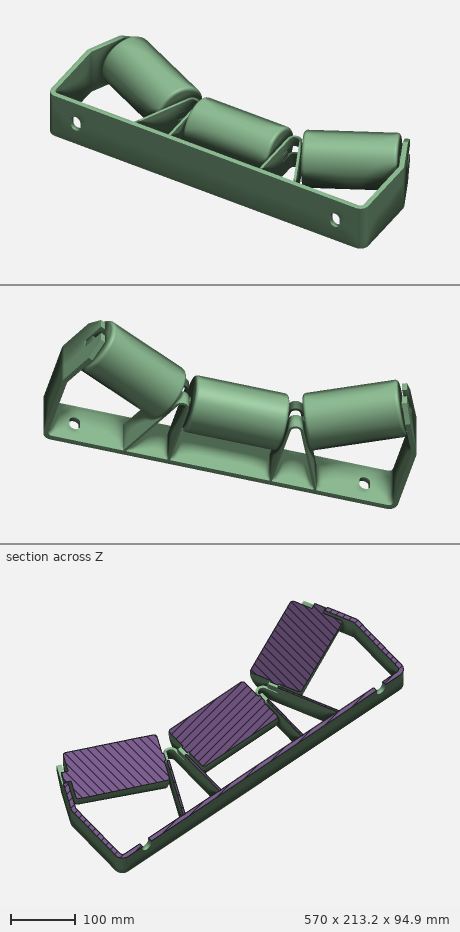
import cadquery as cq
import math

frame_length = 570.0
frame_height = 80.0
frame_thickness = 8.0
frame_bend_radius = 14.0
frame_side_end = 120.0
flange_angle = 25.0
flange_length = 89.0
flange_corner_run = 29.5
flange_corner_drop = 17.0
mounting_slot_width = 17.0
mounting_slot_height = 26.0
mounting_slot_offset = 233.0

roller_diameter = 90.0
roller_length = 150.0
roller_edge_radius = 5.0
shaft_diameter = 20.0
shaft_length = 167.5
side_shaft_shift = 1.5
shaft_flat_height = 13.0
shaft_round_length = 3.0

middle_roller_y = 101.0
middle_roller_z = -5.5
side_roller_tilt = 2.0
side_roller_z = -3.0
side_roller_gap = 4.5
flange_shaft_distance = 59.0

bracket_thickness = 4.0
bracket_bend_radius = 12.0
bracket_face_x = 80.0
bracket_fold_y = 116.0
bracket_top_z = 19.5

seat_width = 15.0
seat_clearance = 0.5

lean = math.radians(flange_angle)
cos_lean = math.cos(lean)
sin_lean = math.sin(lean)


def leaning_point(origin, outward, along):
    """Left-hand point at distances across and along the lean from an origin."""
    return (
        origin[0] - outward * cos_lean + along * sin_lean,
        origin[1] + outward * sin_lean + along * cos_lean,
    )


def arc_point(centre, radius, degrees):
    """Point on a circle in the XY plane."""
    angle = math.radians(degrees)
    return (centre[0] + radius * math.cos(angle), centre[1] + radius * math.sin(angle))


def leaning_plane(point, z):
    """Plane facing outward, with its local X running up the lean."""
    return cq.Plane(origin=(*point, z), xDir=(sin_lean, cos_lean, 0), normal=(-cos_lean, sin_lean, 0))


def shaft_seat(plane, open_length, depth):
    """Cutter for a slot with a round seat, open toward the plane's local +X."""
    radius = shaft_diameter / 2 + seat_clearance
    half_width = seat_width / 2
    arc_start = -math.sqrt(radius**2 - half_width**2)
    return (
        cq.Workplane(plane)
        .moveTo(open_length, half_width)
        .lineTo(arc_start, half_width)
        .threePointArc((-radius, 0), (arc_start, -half_width))
        .lineTo(open_length, -half_width)
        .close()
        .extrude(-depth)
    )


bend_x = -frame_length / 2 + frame_bend_radius
base_bend = (bend_x, frame_bend_radius)
flange_bend = (bend_x, frame_side_end)
flange_shaft = leaning_point(flange_bend, frame_bend_radius, flange_shaft_distance)
side_roller_inset = frame_thickness + side_roller_gap + roller_length / 2
side_roller_centre = leaning_point(flange_shaft, -side_roller_inset, 0)
fold_centre = (-bracket_face_x - bracket_bend_radius, bracket_fold_y)


def frame_half():
    """Left half of the frame strip, without openings."""
    outer = frame_bend_radius
    inner = outer - frame_thickness
    lean_direction = 180 - flange_angle
    lean_middle = 180 - flange_angle / 2
    return (
        cq.Workplane("XY", origin=(0, 0, -frame_height / 2))
        .moveTo(0, 0)
        .lineTo(bend_x, 0)
        .threePointArc(arc_point(base_bend, outer, 225), arc_point(base_bend, outer, 180))
        .lineTo(*arc_point(flange_bend, outer, 180))
        .threePointArc(arc_point(flange_bend, outer, lean_middle), arc_point(flange_bend, outer, lean_direction))
        .lineTo(*leaning_point(flange_bend, outer, flange_length))
        .lineTo(*leaning_point(flange_bend, inner, flange_length))
        .lineTo(*arc_point(flange_bend, inner, lean_direction))
        .threePointArc(arc_point(flange_bend, inner, lean_middle), arc_point(flange_bend, inner, 180))
        .lineTo(*arc_point(base_bend, inner, 180))
        .threePointArc(arc_point(base_bend, inner, 225), arc_point(base_bend, inner, 270))
        .lineTo(0, frame_thickness)
        .close()
        .extrude(frame_height)
    )


def flange_corner(side):
    """Cutter for one sloping corner of the flange tip; side is +1 or -1."""
    tip = leaning_plane(leaning_point(flange_bend, frame_bend_radius, flange_length), 0)
    edge = side * frame_height / 2
    return (
        cq.Workplane(tip)
        .polyline([(0, edge), (-flange_corner_run, edge), (0, edge - side * flange_corner_drop)])
        .close()
        .extrude(-frame_thickness)
    )


def mounting_slot():
    """Cutter for the upright oblong hole near the end of the base."""
    return (
        cq.Workplane("XZ")
        .center(-mounting_slot_offset, 0)
        .slot2D(mounting_slot_height, mounting_slot_width, 90)
        .extrude(-frame_thickness)
    )


def make_frame():
    half = frame_half()
    for side in (1, -1):
        half = half.cut(flange_corner(side))
    half = half.cut(shaft_seat(leaning_plane(flange_shaft, 0), flange_length, frame_thickness))
    half = half.cut(mounting_slot())
    return half.union(half.mirror("YZ"))


def make_bracket():
    """Left-hand bracket: upright inner leg, round fold and leaning outer leg."""
    outer = bracket_bend_radius
    inner = outer - bracket_thickness
    lean_direction = 180 - flange_angle
    fold_middle = lean_direction / 2

    def leg_foot(radius):
        drop = bracket_fold_y + radius * sin_lean - frame_thickness
        return leaning_point(fold_centre, radius, -drop / cos_lean)

    strip = (
        cq.Workplane("XY", origin=(0, 0, -frame_height / 2))
        .moveTo(fold_centre[0] + outer, frame_thickness)
        .lineTo(*arc_point(fold_centre, outer, 0))
        .threePointArc(arc_point(fold_centre, outer, fold_middle), arc_point(fold_centre, outer, lean_direction))
        .lineTo(*leg_foot(outer))
        .lineTo(*leg_foot(inner))
        .lineTo(*arc_point(fold_centre, inner, lean_direction))
        .threePointArc(arc_point(fold_centre, inner, fold_middle), arc_point(fold_centre, inner, 0))
        .lineTo(fold_centre[0] + inner, frame_thickness)
        .close()
        .extrude(bracket_top_z + frame_height / 2)
    )

    upright_plane = cq.Plane(
        origin=(-bracket_face_x, middle_roller_y, middle_roller_z), xDir=(0, 1, 0), normal=(1, 0, 0)
    )
    fold_to_shaft = (
        (side_roller_centre[0] - fold_centre[0]) * sin_lean
        + (side_roller_centre[1] - fold_centre[1]) * cos_lean
    )
    leaning_seat = leaning_point(fold_centre, outer, fold_to_shaft)
    open_length = bracket_fold_y + outer - middle_roller_y
    strip = strip.cut(shaft_seat(upright_plane, open_length, outer))
    return strip.cut(shaft_seat(leaning_plane(leaning_seat, middle_roller_z), open_length, outer))


def rod(diameter, length):
    """Cylinder along X, centred on the origin."""
    return cq.Workplane("YZ", origin=(-length / 2, 0, 0)).circle(diameter / 2).extrude(length)


def make_roller(shaft_shift=0):
    """Roller and shaft as one solid along X, with the roller centred on the origin."""
    body = rod(roller_diameter, roller_length).edges("%CIRCLE").fillet(roller_edge_radius)
    round_shaft = rod(shaft_diameter, roller_length + 2 * shaft_round_length)
    flats = cq.Workplane("XY").box(shaft_length, shaft_diameter, shaft_flat_height)
    flat_shaft = rod(shaft_diameter, shaft_length).intersect(flats)
    return body.union(round_shaft).union(flat_shaft.translate((shaft_shift, 0, 0)))


def make_side_roller():
    """Left-hand roller, leaning with the flange and raised at its outer end."""
    return (
        make_roller(-side_shaft_shift)
        .rotate((0, 0, 0), (0, 1, 0), side_roller_tilt)
        .rotate((0, 0, 0), (0, 0, 1), -flange_angle)
        .translate((*side_roller_centre, side_roller_z))
    )


frame = make_frame()
left_bracket = make_bracket()
brackets = [left_bracket, left_bracket.mirror("YZ")]
middle_roller = make_roller().translate((0, middle_roller_y, middle_roller_z))
left_roller = make_side_roller()
rollers = [left_roller, middle_roller, left_roller.mirror("YZ")]

bodies = [frame, *brackets, *rollers]
result = cq.Compound.makeCompound([body.solids().val() for body in bodies])